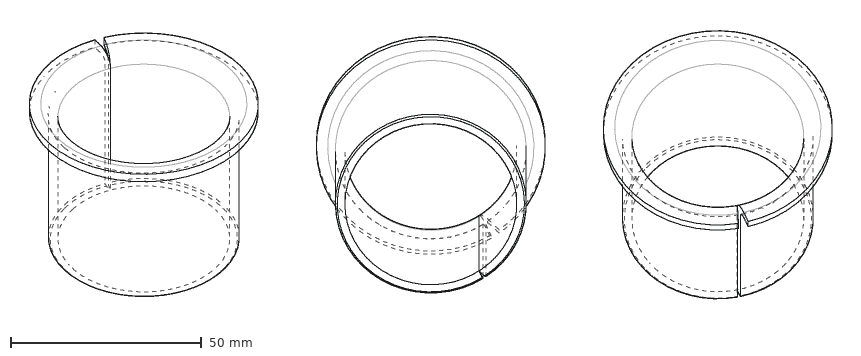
import cadquery as cq
import math

bore_radius = 22.5
wall = 2.5
total_height = 45.0
flange_radius = 30.0
outer_fillet = 2.0
lip_fillet = outer_fillet + wall
end_chamfer = 0.5

groove_angle = 20.0
groove_offset = 2.0
groove_web = 0.05

body_radius = bore_radius + wall
flange_bottom = total_height - wall


def sleeve():
    """Revolve the flanged wall section about Z, starting from the -X side."""
    arc_radius = bore_radius + lip_fillet
    arc_height = total_height - lip_fillet
    diagonal = math.sqrt(0.5)

    def arc_middle(radius):
        return (-arc_radius + radius * diagonal, arc_height + radius * diagonal)

    section = (
        cq.Workplane("XZ")
        .moveTo(-bore_radius, 0)
        .lineTo(-body_radius + end_chamfer, 0)
        .lineTo(-body_radius, end_chamfer)
        .lineTo(-body_radius, arc_height)
        .threePointArc(arc_middle(outer_fillet), (-arc_radius, flange_bottom))
        .lineTo(-flange_radius, flange_bottom)
        .lineTo(-flange_radius, total_height)
        .lineTo(-arc_radius, total_height)
        .threePointArc(arc_middle(lip_fillet), (-bore_radius, arc_height))
        .close()
    )
    return section.revolve(360, (0, 0, 0), (0, 1, 0))


def split_groove():
    """Full-height wedge whose edge lies just outside the bore."""
    tip = bore_radius + groove_web
    mouth = flange_radius + wall
    half_width = (mouth - tip) * math.tan(math.radians(groove_angle / 2))
    wedge = (
        cq.Workplane("XY")
        .polyline([(-tip, 0), (-mouth, half_width), (-mouth, -half_width)])
        .close()
        .extrude(total_height)
    )
    return wedge.rotate((0, 0, 0), (0, 0, 1), groove_offset)


result = sleeve().cut(split_groove())